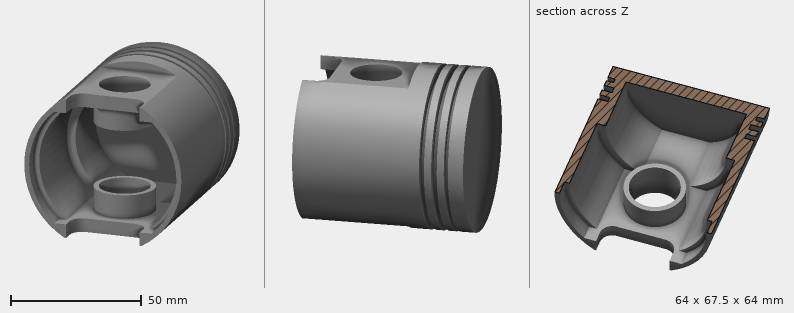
import cadquery as cq

length = 67.5
radius = 32.0
crown_y = length / 2
skirt_y = -length / 2

ring_grooves = [
    (6.0, 1.6, 29.0),
    (10.4, 2.2, 27.95),
    (15.45, 1.95, 27.95),
]

crown_thickness = 6.0
crown_bore_radius = 24.5
shoulder_depth = 29.5
skirt_bore_radius = 28.0
mouth_radius = 30.0
mouth_depth = 6.0

pin_wall_outer_z = 27.95
pin_wall_inner_z = 22.5
outer_flat_depth = 25.5

pin_y = crown_y - 42.0
pin_radius = 10.0
boss_radius = 12.0
boss_end_z = 13.0

relief_width = 30.0
relief_height = 9.5
relief_fillet = 5.0


def disc(disc_radius, y_low, y_high):
    """Cylinder along Y between two positions."""
    plane = cq.Workplane("XZ", origin=(0, y_high, 0))
    return plane.circle(disc_radius).extrude(y_high - y_low)


def block(width, y_low, y_high, z_low, z_high):
    """Box centred on X = 0."""
    size_y = y_high - y_low
    size_z = z_high - z_low
    center = (0, (y_low + y_high) / 2, (z_low + z_high) / 2)
    return cq.Workplane("XY").box(width, size_y, size_z).translate(center)


def pin_cylinder(cylinder_radius, z_low, z_high):
    """Cylinder along the pin axis."""
    plane = cq.Workplane("XY", origin=(0, pin_y, z_low))
    return plane.circle(cylinder_radius).extrude(z_high - z_low)


def cavity():
    """Stepped bore, limited by the flat inner faces of the pin walls."""
    shoulder_y = crown_y - shoulder_depth
    bore = (
        disc(crown_bore_radius, skirt_y, crown_y - crown_thickness)
        .union(disc(skirt_bore_radius, skirt_y, shoulder_y))
        .union(disc(mouth_radius, skirt_y, skirt_y + mouth_depth))
    )
    limit = block(2 * radius, skirt_y, crown_y, -pin_wall_inner_z, pin_wall_inner_z)
    return bore.intersect(limit)


body = disc(radius, skirt_y, crown_y)
for depth, width, floor_radius in ring_grooves:
    top_y = crown_y - depth
    ring = disc(radius, top_y - width, top_y).cut(disc(floor_radius, top_y - width, top_y))
    body = body.cut(ring)

flat_top_y = crown_y - outer_flat_depth
body = body.cut(block(2 * radius, skirt_y, flat_top_y, pin_wall_outer_z, radius))
body = body.cut(block(2 * radius, skirt_y, flat_top_y, -radius, -pin_wall_outer_z))

body = body.cut(cavity())
body = body.union(pin_cylinder(boss_radius, boss_end_z, pin_wall_outer_z))
body = body.union(pin_cylinder(boss_radius, -pin_wall_outer_z, -boss_end_z))
body = body.cut(pin_cylinder(pin_radius, -radius, radius))

relief = (
    block(relief_width, skirt_y, skirt_y + relief_height, -radius, radius)
    .edges("|Z and >Y")
    .fillet(relief_fillet)
)
result = body.cut(relief)